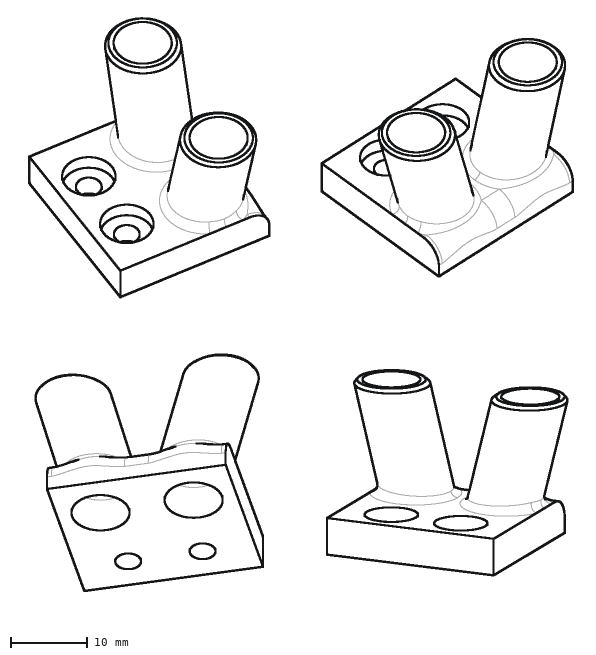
import cadquery as cq
import math

base_width = 24.0
base_depth = 22.5
base_height = 5.0
back_edge_radius = 3.0

overall_width = 29.75
overall_height = 20.0
tube_diameter = 10.0
bore_diameter = 7.6
tube_to_back = 6.5
tube_lean = 0.25
rim_chamfer = 0.5
root_fillet = 1.0

screw_diameter = 3.4
counterbore_diameter = 7.0
counterbore_depth = 2.0
screw_spacing = 10.0
screw_to_front = 5.0

tube_rise = overall_height - base_height
tube_y = base_depth - tube_to_back
rim_chamfer_height = rim_chamfer / math.hypot(1, tube_lean)
tube_top_x = (overall_width - tube_diameter) / 2 + tube_lean * rim_chamfer_height
tube_root_x = tube_top_x - tube_lean * tube_rise


def leaning_cylinder(diameter, side):
    """Circular section swept from the plate top to full height, leaning outwards."""
    root = cq.Vector(side * tube_root_x, tube_y, base_height)
    circle = cq.Wire.makeCircle(diameter / 2, root, cq.Vector(0, 0, 1))
    lean = cq.Vector(side * tube_lean * tube_rise, 0, tube_rise)
    return cq.Workplane(cq.Solid.extrudeLinear(circle, [], lean))


def make_base():
    """Square-edged plate standing on Z = 0."""
    return cq.Workplane().box(base_width, base_depth, base_height, centered=(True, False, False))


def add_tubes(body):
    """Stand both tubes on the plate and blend their roots into its top face."""
    for side in (-1, 1):
        tube = leaning_cylinder(tube_diameter, side)
        body = body.union(tube.faces(">Z").chamfer(rim_chamfer))
    roots = cq.selectors.BoxSelector(
        (-overall_width, tube_y - tube_diameter, base_height - root_fillet),
        (overall_width, tube_y + tube_diameter, base_height + root_fillet),
    )
    return body.edges(roots).edges("%CIRCLE").fillet(root_fillet)


def round_back_edge(body):
    """Round the plate's upper back edge, running over the root fillets."""
    back_edge = cq.selectors.NearestToPointSelector((0, base_depth, base_height))
    return body.edges(back_edge).fillet(back_edge_radius)


def cut_bores(body):
    """Follow each tube down to the plate, then drop straight through it."""
    for side in (-1, 1):
        plate_bore = (
            cq.Workplane()
            .center(side * tube_root_x, tube_y)
            .circle(bore_diameter / 2)
            .extrude(base_height)
        )
        body = body.cut(leaning_cylinder(bore_diameter, side)).cut(plate_bore)
    return body


def cut_screw_holes(body):
    return (
        body.copyWorkplane(cq.Workplane(origin=(0, 0, base_height)))
        .pushPoints([(side * screw_spacing / 2, screw_to_front) for side in (-1, 1)])
        .cboreHole(screw_diameter, counterbore_diameter, counterbore_depth)
    )


plate_with_tubes = round_back_edge(add_tubes(make_base()))
result = cut_screw_holes(cut_bores(plate_with_tubes))